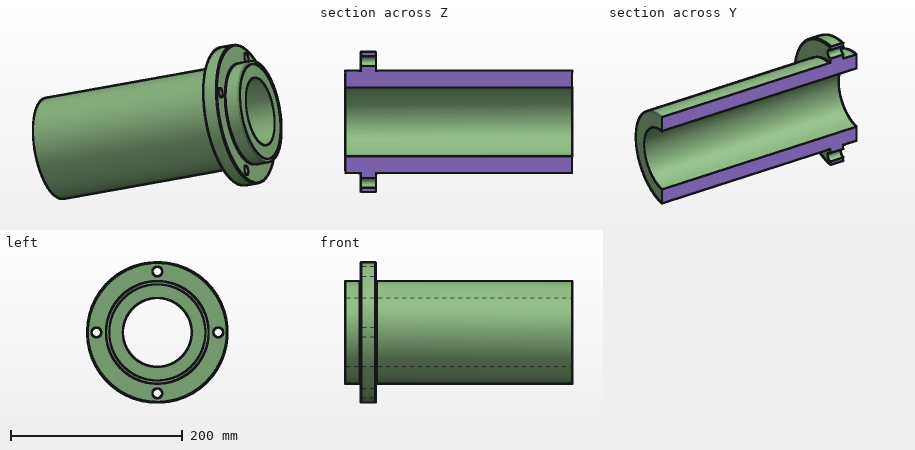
import cadquery as cq

body_length = 265.0
body_diameter = 120.0
bore_diameter = 80.0
edge_break = 1.0

seal_diameter = 112.0
seal_depth = 0.13

flange_diameter = 164.0
flange_start = 18.0
flange_thickness = 18.0

relief_width = 1.2
relief_depth = 0.3

hole_diameter = 11.0
hole_count = 4
hole_circle_diameter = 142.0


def cylinder_along_x(diameter, start, length):
    """Solid cylinder on the X axis, running from start towards +X."""
    return cq.Workplane("YZ", origin=(start, 0, 0)).circle(diameter / 2).extrude(length)


def make_body():
    """Cylindrical sleeve, still solid, with both end edges rounded."""
    return cylinder_along_x(body_diameter, 0, body_length).edges("%CIRCLE").fillet(edge_break)


def make_relief_cutter():
    """Ring that cuts both relief grooves; the flange later fills the space between them."""
    start = flange_start - relief_width
    length = flange_thickness + 2 * relief_width
    groove_floor_diameter = body_diameter - 2 * relief_depth
    outer = cylinder_along_x(flange_diameter, start, length)
    return outer.cut(cylinder_along_x(groove_floor_diameter, start, length))


def make_flange():
    """Flange disc with both rims chamfered."""
    disc = cylinder_along_x(flange_diameter, flange_start, flange_thickness)
    return disc.edges("%CIRCLE").chamfer(edge_break)


def make_mounting_hole_cutters():
    """Cutters for the holes spaced evenly around the flange."""
    return (
        cq.Workplane("YZ", origin=(flange_start, 0, 0))
        .polarArray(hole_circle_diameter / 2, 0, 360, hole_count)
        .circle(hole_diameter / 2)
        .extrude(flange_thickness)
    )


result = make_body().cut(make_relief_cutter()).union(make_flange())
result = result.cut(cylinder_along_x(bore_diameter, 0, body_length))
result = result.cut(cylinder_along_x(seal_diameter, 0, seal_depth))
result = result.cut(make_mounting_hole_cutters())